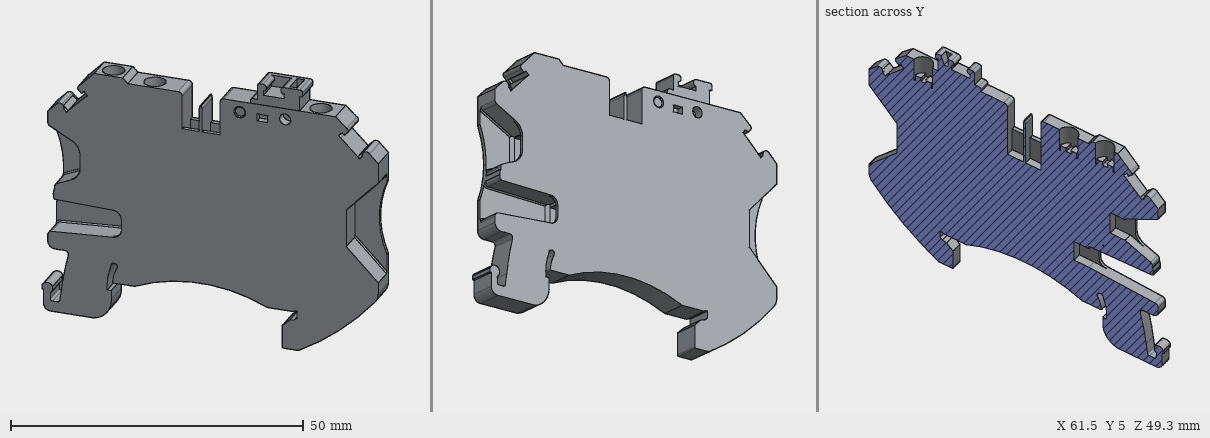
import cadquery as cq

LENGTH = 61.5
THICKNESS = 5.0
HEIGHT = 49.25

left_side = 1.05
right_side = LENGTH
middle_x = (left_side + right_side) / 2
deck_z = 45.3
shoulder_z = 46.25
underside_z = 7.2
gap_left, gap_right = 25.65, 32.5
gap_floor_z = 38.45
gap_corner_round = 0.75
belly_z = 11.85
belly_round = 1.35
spring_root_x = 4.8
spring_root_round = 0.6
slot_mouth_x = 12.9
rail_foot_x = 43.9
foot_corner_round = 0.25
waist_low, waist_high = 18.7, 32.4
waist_middle = (waist_low + waist_high) / 2
left_waist_depth, right_waist_depth = 1.3, 1.4

front_wall = 0.52
pocket_floor_y = 4.25
chamber_floor_y = 3.6
web_front_y = 4.5
floor_chamfer = 0.25
overshoot = 0.6

corner_reach = 0.03

mouth_flare = 0.9
ramp_setback = 0.4
chamber_length = 3.1

screw_positions = [(12.25, shoulder_z), (19.8, deck_z), (50.1, deck_z)]
screw_y = 2.35
screw_well_diameter = 3.8
screw_head_diameter = 3.5
screw_well_depth = 4.9
screw_head_height = 1.2
screw_slot_width = 0.9
screw_slot_depth = 0.75

fin_x = 29.0
fin_width = 0.55
fin_edge_width = 0.2
fin_shoulder_z = 42.75
fin_top_z = 43.35
bay_front_y, bay_back_y = 0.75, 4.05
bay_depth = 4.9

carrier_front_y = 0.05
carrier_left, carrier_right = 39.35, 47.1
carrier_toe_x, carrier_toe_z = 38.05, 46.25
carrier_lip_x, carrier_lip_z = 47.65, 47.95
carrier_round = 0.5
carrier_lip_round = 0.25
channel_left, channel_right = 40.45, 44.2
channel_floor_z = 47.15
channel_neck_z = 47.95
channel_lip = 0.55
channel_back_y = 4.05
carrier_slot_left, carrier_slot_right = 45.1, 46.35
carrier_slot_floor_right = 45.75
carrier_slot_front_y, carrier_slot_back_y = 0.75, 4.25
carrier_slot_depth = 1.85

mark_z = 43.3
ring_x, ring_diameter, ring_depth, ring_bevel = 36.15, 2.1, 0.25, 0.2
bore_x, bore_diameter, bore_depth = 44.45, 2.0, 1.85
window_left, window_right = 39.35, 41.25
window_low, window_high = 42.2, 43.5
window_depth = 1.2


def prism(points, y_front, y_back):
    """Closed XZ polygon extruded between two Y positions."""
    plane = cq.Workplane("XZ", origin=(0, y_front, 0))
    return plane.polyline(points).close().extrude(y_front - y_back)


def box(x0, x1, y0, y1, z0, z1):
    return cq.Workplane("XY").box(x1 - x0, y1 - y0, z1 - z0, centered=False).translate((x0, y0, z0))


def round_corners(solid, corners, radius):
    """Fillet the edges along Y that pass through the given XZ corners."""
    reach = corner_reach
    for x, z in corners:
        low_corner = (x - reach, -overshoot, z - reach)
        high_corner = (x + reach, THICKNESS + overshoot, z + reach)
        near = cq.selectors.BoxSelector(low_corner, high_corner)
        solid = solid.edges("|Y").edges(near).fillet(radius)
    return solid


def chamfer_floor_edge(pocket, start, end):
    """Chamfer the pocket floor edge that runs between two XZ points."""
    middle = ((start[0] + end[0]) / 2, pocket_floor_y, (start[1] + end[1]) / 2)
    return pocket.edges(cq.selectors.NearestToPointSelector(middle)).chamfer(floor_chamfer)


def mirrored(points):
    """Points reflected to the other end of the housing, in reverse order."""
    return [(2 * middle_x - x, z) for x, z in reversed(points)]


crest_foot = (2.65, 39.3)
crest_tip = (3.15, 39.6)
crest_end = (3.7, 39.5)
notch_low = (4.8, 38.45)
notch_high = (7.9, 41.45)
beak_low = (6.75, 42.55)
beak_tip = (6.5, 43.0)
beak_high = (6.8, 43.5)
side_top = (left_side, 37.7)

notch_undercuts = [
    [(3.95, 39.2), (4.0, 38.6), (4.5, 38.05), notch_low],
    [(7.25, 42.05), (7.7, 42.4), (8.3, 41.8), notch_high],
]

hook_recess = [(1.95, 4.75), (1.95, 3.9), (1.55, 3.4), (1.55, 1.95), (3.2, 1.95), (3.55, 4.4), (2.95, 4.05)]
hook_recess_round = 0.35


def housing():
    def opposite(point):
        return mirrored([point])[0]

    outline = (
        cq.Workplane("XZ")
        .moveTo(*side_top)
        .lineTo(*crest_foot)
        .threePointArc(crest_tip, crest_end)
        .lineTo(*notch_low)
        .lineTo(*notch_high)
        .lineTo(*beak_low)
        .threePointArc(beak_tip, beak_high)
        .lineTo(9.55, shoulder_z)
        .lineTo(14.75, shoulder_z)
        .lineTo(15.7, deck_z)
        .lineTo(gap_left, deck_z)
        .lineTo(gap_left, gap_floor_z)
        .lineTo(gap_right, gap_floor_z)
        .lineTo(gap_right, deck_z)
        .lineTo(53.7, deck_z)
        .lineTo(*opposite(beak_high))
        .threePointArc(opposite(beak_tip), opposite(beak_low))
        .lineTo(*opposite(notch_high))
        .lineTo(*opposite(notch_low))
        .lineTo(*opposite(crest_end))
        .threePointArc(opposite(crest_tip), opposite(crest_foot))
        .lineTo(*opposite(side_top))
        .lineTo(right_side, waist_high)
        .threePointArc((right_side - right_waist_depth, waist_middle), (right_side, waist_low))
        .lineTo(right_side, 13.1)
        .threePointArc((61.3, 12.2), (60.75, 11.3))
        .threePointArc((54.65, 5.3), (46.9, 0))
        .lineTo(rail_foot_x, 0)
        .lineTo(rail_foot_x, 4.25)
        .lineTo(45.25, 5.5)
        .lineTo(46.1, 5.65)
        .lineTo(46.6, 6.1)
        .lineTo(46.6, 7.4)
        .lineTo(46.2, 7.4)
        .lineTo(45.95, underside_z)
        .lineTo(41.2, underside_z)
        .threePointArc((29.1, 9.8), (17.0, underside_z))
        .lineTo(slot_mouth_x, underside_z)
        .threePointArc((13.15, 8.8), (13.8, 10.2))
        .threePointArc((13.3, 10.95), (12.6, 10.3))
        .threePointArc((12.05, 8.25), (11.9, 5.7))
        .lineTo(12.65, 5.7)
        .lineTo(12.65, 4.05)
        .threePointArc((11.75, 1.3), (9.5, 0))
        .lineTo(1.7, 0)
        .threePointArc((0.7, 0.35), (0.25, 1.35))
        .lineTo(0.25, 3.9)
        .lineTo(0, 4.0)
        .lineTo(0, 4.7)
        .threePointArc((0.9, 5.35), hook_recess[0])
        .threePointArc(hook_recess[-1], hook_recess[-2])
        .threePointArc((4.0, 7.4), (spring_root_x, 11.05))
        .lineTo(spring_root_x, belly_z)
        .lineTo(left_side, belly_z)
        .lineTo(left_side, waist_low)
        .threePointArc((left_side + left_waist_depth, waist_middle), (left_side, waist_high))
        .close()
    )
    solid = outline.extrude(-THICKNESS)
    solid = round_corners(solid, [(gap_left, deck_z), (gap_right, deck_z)], gap_corner_round)
    solid = round_corners(solid, [(spring_root_x, belly_z)], spring_root_round)
    solid = round_corners(solid, [(left_side, belly_z)], belly_round)
    return round_corners(solid, [(slot_mouth_x, underside_z), (rail_foot_x, 0)], foot_corner_round)


def web_recesses():
    """Notch undercuts and hook recess, cut from the front down to the back web."""
    recess = prism(hook_recess, 0, web_front_y)
    recess = round_corners(recess, hook_recess[3:5], hook_recess_round)
    for undercut in notch_undercuts:
        for shape in (undercut, mirrored(undercut)):
            recess = recess.union(prism(shape, 0, web_front_y))
    return recess


def wire_entry(
    mouth_top, mouth_low, mouth_rounds, upper_slope, lower_slope, window_x, window_round, chamber_top
):
    """Funnel open to the left side with a rounded window in the front wall.

    The walls are lines of given slope starting at the two mouth corners. Behind the
    window the floor ramps up at 45 degrees into a straight conductor chamber.
    """
    ramp_start = window_x + ramp_setback
    ramp_end = ramp_start + pocket_floor_y - chamber_floor_y
    chamber_end = ramp_end + chamber_length
    outside_x = -overshoot

    def top_at(x):
        return mouth_top[1] + upper_slope * (x - mouth_top[0])

    def low_at(x):
        return mouth_low[1] + lower_slope * (x - mouth_low[0])

    def funnel(end_x, y_back):
        points = [
            (outside_x, mouth_top[1] + mouth_flare),
            (mouth_top[0], mouth_top[1] + mouth_flare),
            mouth_top,
            (end_x, top_at(end_x)),
            (end_x, low_at(end_x)),
            mouth_low,
            (mouth_low[0], mouth_low[1] - mouth_flare),
            (outside_x, mouth_low[1] - mouth_flare),
        ]
        shape = prism(points, 0, y_back)
        for corner, radius in zip((mouth_top, mouth_low), mouth_rounds):
            shape = round_corners(shape, [corner], radius)
        return shape, points

    window, points = funnel(window_x, front_wall)
    window = round_corners(window, points[3:5], window_round)

    pocket, points = funnel(ramp_end, pocket_floor_y)
    pocket = chamfer_floor_edge(pocket, points[2], points[3])
    pocket = chamfer_floor_edge(pocket, points[4], points[5])

    ramp_profile = [
        (outside_x, front_wall),
        (ramp_end, front_wall),
        (ramp_end, chamber_floor_y),
        (ramp_start, pocket_floor_y),
        (outside_x, pocket_floor_y),
    ]
    ramp = cq.Workplane("XY").polyline(ramp_profile).close().extrude(HEIGHT)
    chamber = box(ramp_end, chamber_end, front_wall, chamber_floor_y, low_at(ramp_end), chamber_top)
    return window.union(pocket.intersect(ramp)).union(chamber)


def right_recess():
    """Open recess on the right side, in front of the back plate."""
    inner_x, inner_low, inner_high = 55.65, 21.1, 28.0
    outer_low, outer_high = 14.6, 34.6
    outside_x = LENGTH + overshoot
    points = [(inner_x, inner_high), (inner_x, inner_low), (outside_x, outer_low), (outside_x, outer_high)]
    recess = prism(points, 0, pocket_floor_y)
    recess = chamfer_floor_edge(recess, points[1], points[2])
    return chamfer_floor_edge(recess, points[3], points[0])


def screw_well(x, top_z):
    """Round well with a slotted screw head standing on its floor."""
    def disc(diameter, low_z, high_z):
        return cq.Workplane("XY", origin=(x, screw_y, low_z)).circle(diameter / 2).extrude(high_z - low_z)

    floor_z = top_z - screw_well_depth
    head_top = floor_z + screw_head_height
    head = disc(screw_head_diameter, floor_z, head_top)
    half_slot = screw_slot_width / 2
    slot = box(x - half_slot, x + half_slot, 0, THICKNESS, head_top - screw_slot_depth, head_top)
    return disc(screw_well_diameter, floor_z, top_z).cut(head.cut(slot))


def test_fin():
    """Thin blade with a tapered edge standing in the gap."""
    half, edge = fin_width / 2, fin_edge_width / 2
    base_z = gap_floor_z - bay_depth
    points = [
        (fin_x - half, base_z),
        (fin_x - half, fin_shoulder_z),
        (fin_x - edge, fin_top_z),
        (fin_x + edge, fin_top_z),
        (fin_x + half, fin_shoulder_z),
        (fin_x + half, base_z),
    ]
    blade = prism(points, bay_front_y, bay_back_y)
    return blade.union(prism([(x, max(z, gap_floor_z)) for x, z in points], 0, THICKNESS))


def gap_bay():
    return box(gap_left, gap_right, bay_front_y, bay_back_y, gap_floor_z - bay_depth, gap_floor_z)


def marker_carrier():
    """Clip-in carrier with an undercut channel open to the front and a cross slot."""
    points = [
        (carrier_toe_x, deck_z),
        (carrier_toe_x, carrier_toe_z),
        (carrier_left, carrier_toe_z),
        (carrier_left, HEIGHT),
        (carrier_lip_x, HEIGHT),
        (carrier_lip_x, carrier_lip_z),
        (carrier_right, carrier_lip_z),
        (carrier_right, deck_z),
    ]
    carrier = prism(points, carrier_front_y, THICKNESS)
    carrier = round_corners(carrier, [points[1], points[3], points[4]], carrier_round)
    carrier = round_corners(carrier, [points[5]], carrier_lip_round)

    lip_z = (channel_neck_z + HEIGHT) / 2
    channel = (
        cq.Workplane("XZ")
        .moveTo(channel_left, channel_floor_z)
        .lineTo(channel_left, channel_neck_z)
        .threePointArc((channel_left + channel_lip, lip_z), (channel_left, HEIGHT))
        .lineTo(channel_right, HEIGHT)
        .threePointArc((channel_right - channel_lip, lip_z), (channel_right, channel_neck_z))
        .lineTo(channel_right, channel_floor_z)
        .close()
        .extrude(-channel_back_y)
    )
    slot_floor_z = HEIGHT - carrier_slot_depth
    slot_points = [
        (carrier_slot_left, HEIGHT),
        (carrier_slot_right, HEIGHT),
        (carrier_slot_floor_right, slot_floor_z),
        (carrier_slot_left, slot_floor_z),
    ]
    slot = prism(slot_points, carrier_slot_front_y, carrier_slot_back_y)
    return carrier.cut(channel).cut(slot)


def front_marks():
    """Shallow bevelled ring, plain bore and rectangular window in the front face."""
    def disc(x, diameter, depth):
        return cq.Workplane("XZ").center(x, mark_z).circle(diameter / 2).extrude(-depth)

    ring = disc(ring_x, ring_diameter, ring_depth).faces(">Y").chamfer(ring_bevel)
    window = box(window_left, window_right, 0, window_depth, window_low, window_high)
    return ring.union(disc(bore_x, bore_diameter, bore_depth)).union(window)


upper_entry = wire_entry(
    mouth_top=(left_side, 35.2),
    mouth_low=(2.3, 24.1),
    mouth_rounds=(0.75, 0.6),
    upper_slope=-0.53,
    lower_slope=0.43,
    window_x=6.95,
    window_round=2.75,
    chamber_top=31.3,
)
lower_entry = wire_entry(
    mouth_top=(2.1, 21.3),
    mouth_low=(left_side, 15.05),
    mouth_rounds=(0.35, 0.75),
    upper_slope=-0.03,
    lower_slope=0.065,
    window_x=14.5,
    window_round=1.6,
    chamber_top=20.3,
)

result = housing().cut(web_recesses()).cut(right_recess()).cut(upper_entry).cut(lower_entry)
result = result.cut(gap_bay()).cut(front_marks())
for screw_x, screw_top in screw_positions:
    result = result.cut(screw_well(screw_x, screw_top))
result = result.union(test_fin()).union(marker_carrier())